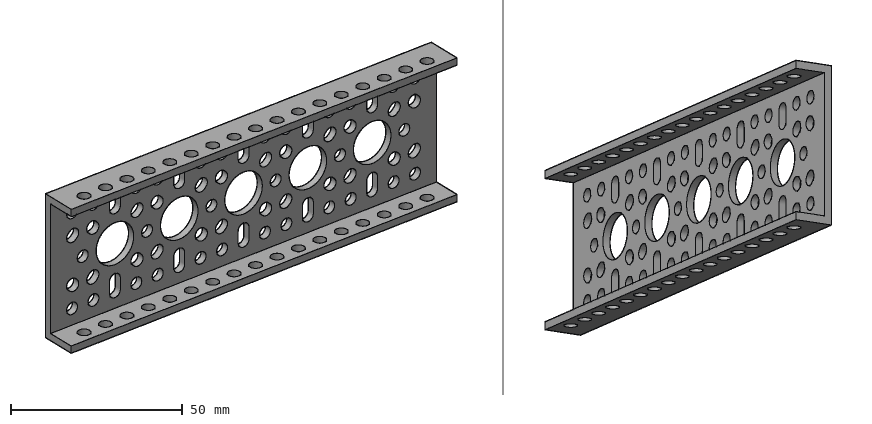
import cadquery as cq
import math

length = 144.0
pitch = length / 18
height = 6 * pitch
flange_width = 1.5 * pitch
thickness = 2.5

hole_diameter = pitch / 2
bore_diameter = 14.0

bore_count = 5
bore_spacing = 3 * pitch

outer_row_height = 2 * pitch
upright_slot_inner_end = 1.5 * pitch

diagonal_angle = 45
bolt_circle_radius = 1.5 * pitch
diagonal_inner_end = pitch
diagonal_outer_end = bolt_circle_radius * math.cos(math.radians(diagonal_angle))

flange_hole_count = 17
flange_hole_offset = pitch


def centred_row(count, spacing):
    """Evenly spaced positions centred on zero."""
    return [(i - (count - 1) / 2) * spacing for i in range(count)]


bore_positions = centred_row(bore_count, bore_spacing)


def channel():
    """C-section along Y: web outer face on X = 0, open towards +X."""
    body = cq.Workplane("XY").box(flange_width, length, height, centered=(False, True, True))
    cavity = (
        cq.Workplane("XY")
        .box(flange_width, length, height - 2 * thickness, centered=(False, True, True))
        .translate((thickness, 0, 0))
    )
    return body.cut(cavity)


def web_holes(points, diameter):
    """Round cutters through the web at (y, z) points."""
    return cq.Workplane("YZ").pushPoints(points).circle(diameter / 2).extrude(thickness)


def web_slots(points, end_distance, angle):
    """Slot cutters through the web; end_distance separates the centres of the round ends."""
    return (
        cq.Workplane("YZ")
        .pushPoints(points)
        .slot2D(end_distance + hole_diameter, hole_diameter, angle)
        .extrude(thickness)
    )


def bores():
    return web_holes([(y, 0) for y in bore_positions], bore_diameter)


def centre_row_holes():
    """Small holes between the bores and beyond the two end bores."""
    return web_holes([(y, 0) for y in centred_row(bore_count + 1, bore_spacing)], hole_diameter)


def outer_row_holes():
    """Holes one grid step either side of every bore, near the flanges, plus one more at each end."""
    columns = [y + side * pitch for y in bore_positions for side in (-1, 1)]
    end_column = bore_positions[-1] + 2 * pitch
    columns += [-end_column, end_column]
    points = [(y, side * outer_row_height) for y in columns for side in (-1, 1)]
    return web_holes(points, hole_diameter)


def upright_slots():
    """Slots across the web, above and below each bore."""
    middle = (outer_row_height + upright_slot_inner_end) / 2
    points = [(y, side * middle) for y in bore_positions for side in (-1, 1)]
    return web_slots(points, outer_row_height - upright_slot_inner_end, 90)


def diagonal_slots(lean):
    """Diagonal slots that point at the bores; lean is 1 or -1 for the two diagonals.

    The pattern runs on to one absent bore past each end,
    where only the slots that fall on the web are cut.
    """
    middle = (diagonal_inner_end + diagonal_outer_end) / 2
    step = diagonal_outer_end - diagonal_inner_end
    points = [
        (y + side * middle, lean * side * middle)
        for y in centred_row(bore_count + 2, bore_spacing)
        for side in (-1, 1)
        if abs(y + side * middle) < length / 2
    ]
    return web_slots(points, math.hypot(step, step), lean * diagonal_angle)


def flange_holes():
    """Row of holes passing through both flanges."""
    points = [(flange_hole_offset, y) for y in centred_row(flange_hole_count, pitch)]
    return (
        cq.Workplane("XY")
        .pushPoints(points)
        .circle(hole_diameter / 2)
        .extrude(height / 2, both=True)
    )


result = (
    channel()
    .cut(bores())
    .cut(centre_row_holes())
    .cut(outer_row_holes())
    .cut(upright_slots())
    .cut(diagonal_slots(1))
    .cut(diagonal_slots(-1))
    .cut(flange_holes())
    .translate((-flange_width / 2, 0, 0))
)